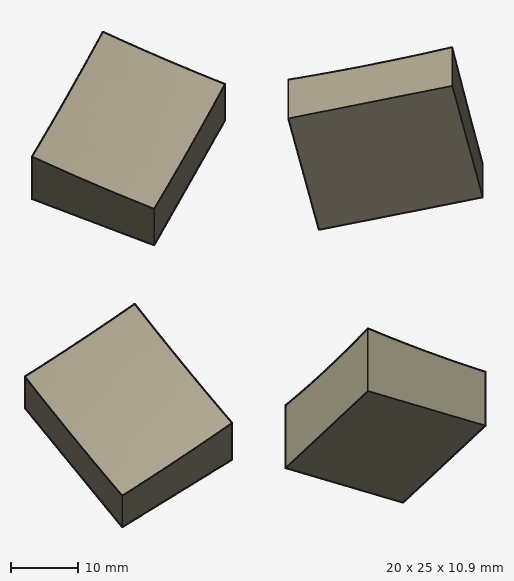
import cadquery as cq

length_x = 20.0
width_y = 25.0
peak_height = 10.95

dish_radius = 200.0
dish_center_x = 15.25

corner_reach_x = dish_center_x + length_x / 2
corner_reach_y = width_y / 2
dish_center_z = peak_height + (dish_radius**2 - corner_reach_x**2 - corner_reach_y**2) ** 0.5


def make_block():
    return cq.Workplane("XY").box(length_x, width_y, peak_height, centered=(True, True, False))


def make_dish():
    return cq.Workplane("XY").sphere(dish_radius).translate((dish_center_x, 0, dish_center_z))


result = make_block().cut(make_dish())